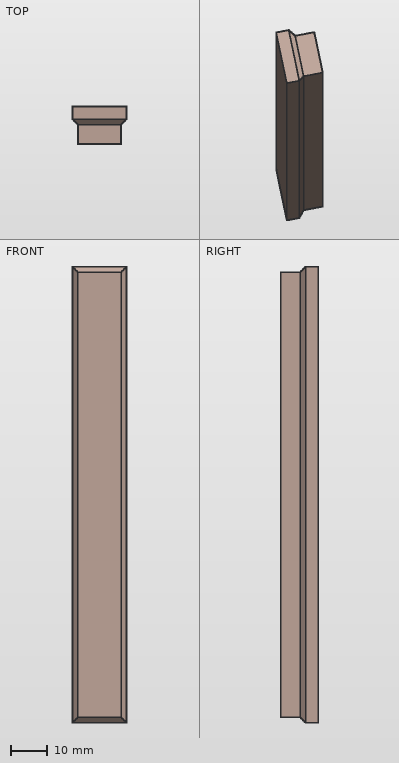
import cadquery as cq

length = 126.0
width = 15.0
depth = 10.5

flange_depth = 5.0
bevel = 1.5

bar_width = width - 2 * bevel
bar_length = length - 2 * bevel


def flange():
    """Bevelled plate, centred on X and Z, with its front face at Y = 0."""
    plate = cq.Workplane("XY").box(width, flange_depth, length, centered=(True, False, True))
    return plate.faces("<Y").edges().chamfer(bevel)


def bar():
    """Rectangular bar running from the back of the flange to the front of the part."""
    block = cq.Workplane("XY").box(bar_width, depth, bar_length, centered=(True, False, True))
    return block.translate((0, flange_depth - depth, 0))


result = flange().union(bar())